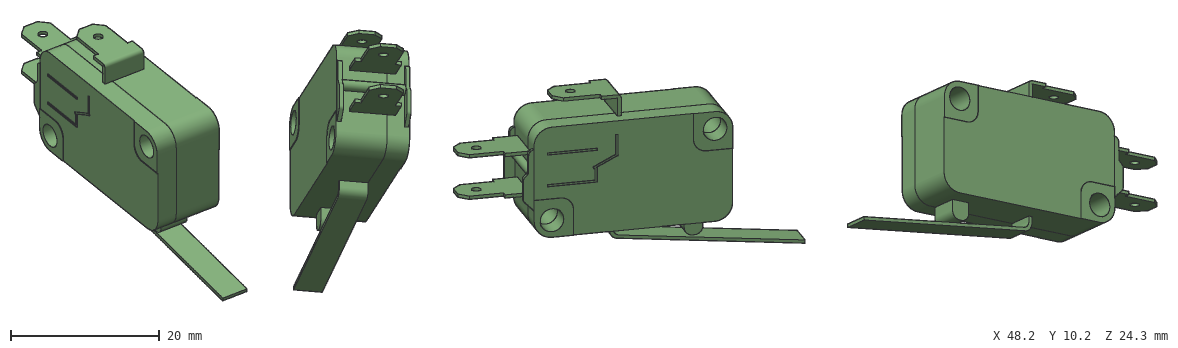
import cadquery as cq
import math


housing_length = 27.75
housing_height = 15.75
housing_thickness = 10.0
corner_radius = 2.5
split_y = -2.0
raise_height = 0.1

left_x = -housing_length / 2
right_x = housing_length / 2
top_z = housing_height / 2
bottom_z = -housing_height / 2
front_y = -housing_thickness / 2
back_y = housing_thickness / 2

hole_diameter = 3.3
hole_x = 11.4
hole_z = 5.4
pad_size = 5.5
pad_inner_radius = 1.85

guard_thickness = 0.6
guard_setback = 0.05
guard_upper_reach = 0.7
guard_lower_reach = 1.45
guard_top_z = 4.85
guard_step_z = 1.55
guard_lower_corner_z = -2.45
guard_blend_radius = 0.6
bar_radius = 0.75
bar_z = 1.35

stroke_width = 0.3
diagram_left_x = -11.87
contact_x = -5.2
open_line_z = 4.1
closed_line_z = -0.45
common_x = -2.3
common_top_z = 5.8
pivot_z = 3.05
arm_tip_x = -5.45
arm_tip_z = 1.55

blade_thickness = 0.5
blade_width = 4.75
blade_chamfer = 1.25
blade_hole_diameter = 1.3
blade_hole_from_tip = 2.9
shoulder_width = 6.35
side_tip_x = -23.4
side_shoulder_x = -17.4
side_terminal_y = 0.07
side_terminal_heights = (3.8, -2.1)
common_tip_x = -10.3
common_shoulder_x = -3.9
common_end_x = -1.15
common_upper_z = 10.9
riser_thickness = 0.6

plunger_x = 9.2
plunger_width = 2.6
plunger_depth = 4.25
plunger_drop = 2.7
plunger_tip_radius = 1.15

lever_left_x = -2.45
lever_thickness = 0.5
lever_width = 2 * abs(split_y)
lever_outer_radius = 1.15
lever_inner_radius = 0.95
lever_elbow_drop = 2.08
lever_slope = math.radians(7.2)
lever_tip_x = 24.85


def box_between(x_range, y_range, z_range):
    """Block that fills the given ranges."""
    sizes = [high - low for low, high in (x_range, y_range, z_range)]
    corner = (x_range[0], y_range[0], z_range[0])
    return cq.Workplane("XY").box(*sizes, centered=False).translate(corner)


def extrude_along_y(profile, y_start, y_end):
    """Extrude a closed profile on the XZ plane from y_start to y_end."""
    return profile.extrude(-(y_end - y_start)).translate((0, y_start, 0))


def rounded_block(y_start, y_end):
    profile = cq.Workplane("XZ").rect(housing_length, housing_height)
    return extrude_along_y(profile, y_start, y_end).edges("|Y").fillet(corner_radius)


def corner_pads(y_start, y_end):
    """Raised pads on the top right and bottom left corners, trimmed to the housing outline."""
    upper = box_between((right_x - pad_size, right_x), (y_start, y_end), (top_z - pad_size, top_z))
    upper = upper.edges("|Y and <X and <Z").fillet(pad_inner_radius)
    lower = upper.rotate((0, 0, 0), (0, 1, 0), 180)
    return upper.union(lower).intersect(rounded_block(y_start, y_end))


def drill_mounting_holes(body):
    centres = [(hole_x, hole_z), (-hole_x, -hole_z)]
    drills = cq.Workplane("XZ").pushPoints(centres).circle(hole_diameter / 2)
    return body.cut(drills.extrude(housing_thickness, both=True))


def side_guard(y_start):
    """Thin plate that shields the terminal roots on one side."""
    upper_x = left_x - guard_upper_reach
    lower_x = left_x - guard_lower_reach
    step = guard_lower_reach - guard_upper_reach
    profile = (
        cq.Workplane("XZ")
        .moveTo(left_x, guard_top_z)
        .radiusArc((upper_x, guard_top_z - guard_upper_reach), -guard_upper_reach)
        .lineTo(upper_x, guard_step_z)
        .lineTo(lower_x, guard_step_z - step)
        .lineTo(lower_x, guard_lower_corner_z)
        .lineTo(left_x, guard_lower_corner_z - guard_lower_reach)
        .close()
    )
    plate = extrude_along_y(profile, y_start, y_start + guard_thickness)
    for corner in (
        (upper_x, guard_step_z),
        (lower_x, guard_step_z - step),
        (lower_x, guard_lower_corner_z),
    ):
        edge_middle = (corner[0], y_start + guard_thickness / 2, corner[1])
        nearest_edge = cq.selectors.NearestToPointSelector(edge_middle)
        plate = plate.edges(nearest_edge).fillet(guard_blend_radius)
    return plate


def guard_bar():
    """Half-round bar on the end wall, running between the two side guards."""
    half_length = back_y - guard_setback - guard_thickness
    profile = (
        cq.Workplane("XZ")
        .moveTo(left_x, bar_z + bar_radius)
        .radiusArc((left_x, bar_z - bar_radius), -bar_radius)
        .close()
    )
    return extrude_along_y(profile, -half_length, half_length)


def blade(tip_x, shoulder_x, end_x, middle_z):
    """Flat terminal with a chamfered tip, a hole and wider shoulders, pointing to -X."""
    half_blade = blade_width / 2
    half_shoulder = shoulder_width / 2
    upper_edge = [
        (tip_x, half_blade - blade_chamfer),
        (tip_x + blade_chamfer, half_blade),
        (shoulder_x, half_blade),
        (shoulder_x, half_shoulder),
        (end_x, half_shoulder),
    ]
    lower_edge = [(x, -y) for x, y in reversed(upper_edge)]
    plate = cq.Workplane("XY").polyline(upper_edge + lower_edge).close().extrude(blade_thickness)
    hole = (
        cq.Workplane("XY")
        .center(tip_x + blade_hole_from_tip, 0)
        .circle(blade_hole_diameter / 2)
        .extrude(blade_thickness)
    )
    return plate.cut(hole).translate((0, 0, middle_z - blade_thickness / 2))


def common_terminal():
    """Terminal on top of the housing: a riser bent over into a blade."""
    flat = blade(common_tip_x, common_shoulder_x, common_end_x, common_upper_z - blade_thickness / 2)
    half_shoulder = shoulder_width / 2
    riser = box_between(
        (common_end_x - riser_thickness, common_end_x),
        (-half_shoulder, half_shoulder),
        (top_z, common_upper_z),
    )
    bent = flat.union(riser)
    return bent.edges("|Y and >X and >Z").fillet(riser_thickness)


def plunger():
    half_width = plunger_width / 2
    half_depth = plunger_depth / 2
    block = box_between(
        (plunger_x - half_width, plunger_x + half_width),
        (-half_depth, half_depth),
        (bottom_z - plunger_drop, bottom_z),
    )
    return block.edges("|Y and <Z").fillet(plunger_tip_radius)


def lever():
    """Strip that leaves the housing downwards and bends into a long sloping arm."""
    elbow_x = lever_left_x
    elbow_z = bottom_z - lever_elbow_drop
    tip_back = lever_thickness * math.sin(lever_slope)
    lower_tip_x = lever_tip_x - tip_back
    lower_tip_z = elbow_z - (lower_tip_x - elbow_x) * math.tan(lever_slope)
    upper_tip_z = lower_tip_z + lever_thickness * math.cos(lever_slope)
    inner_x = elbow_x + lever_thickness
    inner_z = upper_tip_z + (lever_tip_x - inner_x) * math.tan(lever_slope)
    profile = cq.Workplane("XZ").polyline([
        (elbow_x, bottom_z),
        (elbow_x, elbow_z),
        (lower_tip_x, lower_tip_z),
        (lever_tip_x, upper_tip_z),
        (inner_x, inner_z),
        (inner_x, bottom_z),
    ]).close()
    strip = extrude_along_y(profile, -lever_width / 2, lever_width / 2)
    outer_bend = cq.selectors.NearestToPointSelector((elbow_x, 0, elbow_z))
    inner_bend = cq.selectors.NearestToPointSelector((inner_x, 0, inner_z))
    strip = strip.edges(outer_bend).fillet(lever_outer_radius)
    return strip.edges(inner_bend).fillet(lever_inner_radius)


def diagram_stroke(start, end):
    """Raised line of the contact diagram with square ends, standing on the cover's front face."""
    run = end[0] - start[0]
    rise = end[1] - start[1]
    middle = ((start[0] + end[0]) / 2, (start[1] + end[1]) / 2)
    profile = cq.Workplane("XZ").rect(math.hypot(run, rise) + stroke_width, stroke_width)
    bar = extrude_along_y(profile, front_y - raise_height, front_y)
    bar = bar.rotate((0, 0, 0), (0, 1, 0), -math.degrees(math.atan2(rise, run)))
    return bar.translate((middle[0], 0, middle[1]))


def contact_diagram():
    """Open contact line, closed contact line with its stub, and the common line with its switching arm."""
    arm_slope = (pivot_z - arm_tip_z) / (common_x - arm_tip_x)
    stub_top_z = arm_tip_z + (contact_x - arm_tip_x) * arm_slope - stroke_width
    lines = [
        ((diagram_left_x, open_line_z), (contact_x, open_line_z)),
        ((diagram_left_x, closed_line_z), (contact_x, closed_line_z)),
        ((contact_x, closed_line_z), (contact_x, stub_top_z)),
        ((arm_tip_x, arm_tip_z), (common_x, pivot_z)),
        ((common_x, pivot_z), (common_x, common_top_z)),
    ]
    strokes = diagram_stroke(*lines[0])
    for start, end in lines[1:]:
        strokes = strokes.union(diagram_stroke(start, end))
    return strokes


def build_case():
    body = rounded_block(split_y, back_y)
    body = body.union(corner_pads(back_y, back_y + raise_height))
    body = drill_mounting_holes(body)
    body = body.union(side_guard(back_y - guard_setback - guard_thickness))
    body = body.union(guard_bar())
    for height in side_terminal_heights:
        side_terminal = blade(side_tip_x, side_shoulder_x, left_x, height)
        body = body.union(side_terminal.translate((0, side_terminal_y, 0)))
    return body.union(common_terminal()).union(plunger()).union(lever())


def build_cover():
    body = rounded_block(front_y, split_y)
    body = body.union(corner_pads(front_y - raise_height, front_y))
    body = drill_mounting_holes(body)
    body = body.union(side_guard(front_y + guard_setback))
    return body.union(contact_diagram())


case = build_case()
cover = build_cover()
result = cq.Compound.makeCompound([case.solids().val(), cover.solids().val()])